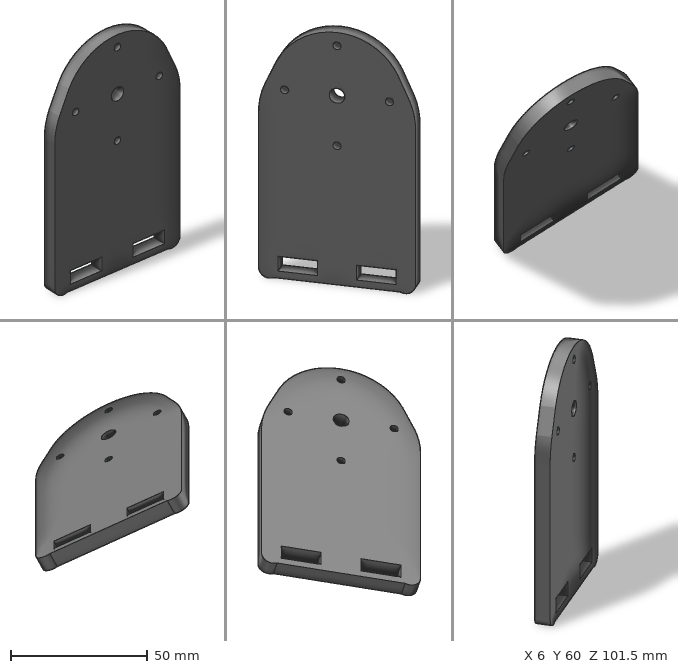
import cadquery as cq
import math

thickness = 6.0
width = 60.0
height = 101.5
half_width = width / 2

crown_radius = 26.0
crown_end_angle = 26.5
shoulder_radius = 28.4
shoulder_end_angle = 22.8
shoulder_base_height = 66.2
foot_radius = 4.1
foot_drop = 0.4

hub_height = 76.1
bore_diameter = 5.9
screw_diameter = 3
screw_offset = 20.0

slot_width = 15.0
slot_height = 5.9
slot_spacing = 30.0
slot_center_height = 6.2


def on_circle(center, radius, angle):
    """Point on a circle in the YZ plane, at an angle in degrees above +Y."""
    a = math.radians(angle)
    return (center[0] + radius * math.cos(a), center[1] + radius * math.sin(a))


def mirror(point):
    return (-point[0], point[1])


def make_plate():
    crown_center = (0, height - crown_radius)
    shoulder_center = (half_width - shoulder_radius, shoulder_base_height)
    foot_center = (half_width - foot_radius, foot_radius)

    crown_end = on_circle(crown_center, crown_radius, crown_end_angle)
    shoulder_end = on_circle(shoulder_center, shoulder_radius, shoulder_end_angle)
    shoulder_middle = on_circle(shoulder_center, shoulder_radius, shoulder_end_angle / 2)
    shoulder_base = (half_width, shoulder_base_height)
    foot_side = (half_width, foot_radius)
    foot_middle = on_circle(foot_center, foot_radius, -45)
    foot_end_angle = -180 + math.degrees(math.asin((foot_radius - foot_drop) / foot_radius))
    foot_end = on_circle(foot_center, foot_radius, foot_end_angle)

    return (
        cq.Workplane("YZ")
        .moveTo(*mirror(crown_end))
        .threePointArc((0, height), crown_end)
        .lineTo(*shoulder_end)
        .threePointArc(shoulder_middle, shoulder_base)
        .lineTo(*foot_side)
        .threePointArc(foot_middle, foot_end)
        .lineTo(*mirror(foot_end))
        .threePointArc(mirror(foot_middle), mirror(foot_side))
        .lineTo(*mirror(shoulder_base))
        .threePointArc(mirror(shoulder_middle), mirror(shoulder_end))
        .close()
        .extrude(thickness)
    )


def make_holes():
    bore = cq.Workplane("YZ").center(0, hub_height).circle(bore_diameter / 2).extrude(thickness)
    screws = (
        cq.Workplane("YZ")
        .center(0, hub_height)
        .polarArray(screw_offset, 0, 360, 4)
        .circle(screw_diameter / 2)
        .extrude(thickness)
    )
    return bore.union(screws)


def make_slots():
    return (
        cq.Workplane("YZ")
        .center(0, slot_center_height)
        .rarray(slot_spacing, 1, 2, 1)
        .rect(slot_width, slot_height)
        .extrude(thickness)
    )


result = make_plate().cut(make_holes()).cut(make_slots())